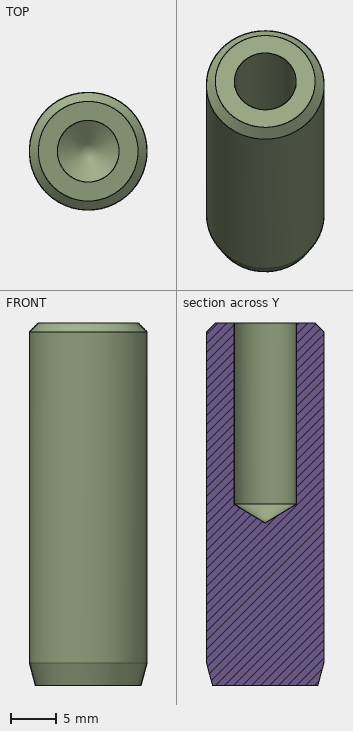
import cadquery as cq
import math

length = 40.0
radius = 13.0 / 2
top_chamfer = 1.0

lead_height = 2.5
lead_angle = 15.0
lead_radius = radius - lead_height * math.tan(math.radians(lead_angle))

hole_radius = 6.8 / 2
hole_depth = 20.0
point_angle = 118.0
point_depth = hole_radius / math.tan(math.radians(point_angle / 2))


def make_body():
    """Revolve the pin outline about Z, from the bottom face at Z = 0."""
    outline = [
        (0, 0),
        (lead_radius, 0),
        (radius, lead_height),
        (radius, length - top_chamfer),
        (radius - top_chamfer, length),
        (0, length),
    ]
    return cq.Workplane("XZ").polyline(outline).close().revolve(360, (0, 0), (0, 1))


def make_hole():
    """Revolve the drilled hole, including its conical point."""
    floor = length - hole_depth
    outline = [
        (0, length),
        (hole_radius, length),
        (hole_radius, floor),
        (0, floor - point_depth),
    ]
    return cq.Workplane("XZ").polyline(outline).close().revolve(360, (0, 0), (0, 1))


result = make_body().cut(make_hole())